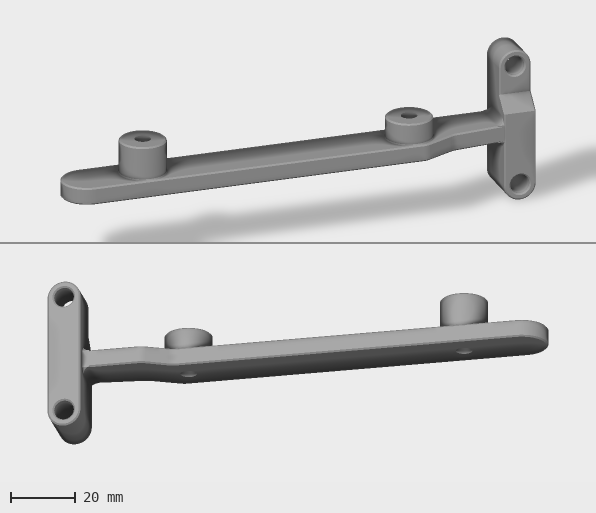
import cadquery as cq

ARM_WIDTH = 16.5
ARM_BOTTOM = -4.0
ARM_TOP = 1.5
ARM_EDGE = 0.5
BEND_RADIUS = 4.5

NECK_LEFT = -12.7
NECK_RIGHT = 1.2
NECK_RIGHT_KINK = 3.1
BEND_START_Y = 117.3
LEFT_BEND_END_Y = 126.2
RIGHT_BEND_END_Y = 127.7
ROOT_FILLET = 2.2

PLATE_BACK = 155.4
PLATE_THICKNESS = 10.4
PLATE_HEIGHT = 48.0
PLATE_LEFT = -15.7
LOWER_LENGTH = 17.0
UPPER_LENGTH = 12.1
STEP_TOP = 10.0
PLATE_EDGE = 0.5
PIN_HOLE_DIAMETER = 6.2

BOSS_DIAMETER = 14.9
BOSS_EDGE = 0.5
BOSS_FLARE = 0.3
BOSS_HOLE_DIAMETER = 5.1
BOSSES = [(26.5, 10.9), (114.0, 7.0)]

half_width = ARM_WIDTH / 2
plate_front = PLATE_BACK - PLATE_THICKNESS
plate_middle = PLATE_BACK - PLATE_THICKNESS / 2
arm_thickness = ARM_TOP - ARM_BOTTOM


def make_arm():
    """Bar with a round tip, two soft bends and a neck that ends on the plate."""
    arm = (
        cq.Workplane("XY", origin=(0, 0, ARM_BOTTOM))
        .moveTo(-half_width, half_width)
        .threePointArc((0, 0), (half_width, half_width))
        .lineTo(half_width, BEND_START_Y)
        .lineTo(NECK_RIGHT_KINK, RIGHT_BEND_END_Y)
        .lineTo(NECK_RIGHT, plate_front)
        .lineTo(NECK_LEFT, plate_front)
        .lineTo(NECK_LEFT, LEFT_BEND_END_Y)
        .lineTo(-half_width, BEND_START_Y)
        .close()
        .extrude(arm_thickness)
    )
    bend_zone = cq.selectors.BoxSelector(
        (NECK_LEFT - 1.5, BEND_START_Y - 1.5, ARM_BOTTOM - 1.5),
        (half_width + 1.5, RIGHT_BEND_END_Y + 1.5, ARM_TOP + 1.5),
    )
    arm = arm.edges("|Z").edges(bend_zone).fillet(BEND_RADIUS)
    return arm.faces("<Z or >Z").edges("not(>Y)").chamfer(ARM_EDGE)


def make_plate():
    """Upright round-ended bar whose right end slopes from a short upper to a long lower half.

    A pin hole runs along X through each round end.
    """
    half_height = PLATE_HEIGHT / 2
    upper_right = PLATE_LEFT + UPPER_LENGTH
    lower_right = PLATE_LEFT + LOWER_LENGTH
    step_bottom = STEP_TOP - (LOWER_LENGTH - UPPER_LENGTH)
    front_outline = (
        cq.Workplane("XZ", origin=(0, PLATE_BACK, 0))
        .moveTo(PLATE_LEFT, -half_height)
        .lineTo(lower_right, -half_height)
        .lineTo(lower_right, step_bottom)
        .lineTo(upper_right, STEP_TOP)
        .lineTo(upper_right, half_height)
        .lineTo(PLATE_LEFT, half_height)
        .close()
        .extrude(PLATE_THICKNESS)
    )
    plate = (
        cq.Workplane("YZ", origin=(PLATE_LEFT, plate_middle, 0))
        .slot2D(PLATE_HEIGHT, PLATE_THICKNESS, 90)
        .extrude(LOWER_LENGTH)
        .intersect(front_outline)
    )
    pin_offset = (PLATE_HEIGHT - PLATE_THICKNESS) / 2
    pin_holes = (
        cq.Workplane("YZ", origin=(PLATE_LEFT, plate_middle, 0))
        .pushPoints([(0, -pin_offset), (0, pin_offset)])
        .circle(PIN_HOLE_DIAMETER / 2)
        .extrude(LOWER_LENGTH)
    )
    plate = plate.cut(pin_holes)
    left_rim = plate.faces("<X").edges()
    right_rim = plate.faces("%PLANE").faces("not(<X or <Y or >Y)").edges("not(|Y)")
    return plate.newObject(left_rim.vals() + right_rim.vals()).chamfer(PLATE_EDGE)


def make_root_fillet():
    """Concave flare above and below the neck, with its ends sloped at 45 degrees."""
    neck_length = NECK_RIGHT - NECK_LEFT
    neck_middle = (NECK_LEFT + NECK_RIGHT) / 2
    arm_middle = (ARM_TOP + ARM_BOTTOM) / 2
    flare_start = plate_front - ROOT_FILLET
    flare_top = ARM_TOP + ROOT_FILLET
    flare_bottom = ARM_BOTTOM - ROOT_FILLET
    bulge = ROOT_FILLET * (1 - 0.5**0.5)
    flare = (
        cq.Workplane("YZ", origin=(NECK_LEFT, 0, 0))
        .moveTo(flare_start, ARM_TOP)
        .threePointArc((plate_front - bulge, ARM_TOP + bulge), (plate_front, flare_top))
        .lineTo(plate_front, flare_bottom)
        .threePointArc((plate_front - bulge, ARM_BOTTOM - bulge), (flare_start, ARM_BOTTOM))
        .close()
        .extrude(neck_length)
    )
    envelope = (
        cq.Workplane("XY")
        .box(neck_length, ROOT_FILLET, flare_top - flare_bottom)
        .edges("|Y")
        .chamfer(ROOT_FILLET)
        .translate((neck_middle, plate_front - ROOT_FILLET / 2, arm_middle))
    )
    return flare.intersect(envelope)


def make_boss(y, height):
    """Round boss with a chamfered top and a small flare where it meets the arm."""
    flare = (
        cq.Workplane("XY", origin=(0, y, ARM_TOP))
        .circle(BOSS_DIAMETER / 2 + BOSS_FLARE)
        .workplane(offset=BOSS_FLARE)
        .circle(BOSS_DIAMETER / 2)
        .loft(ruled=True)
    )
    boss = (
        cq.Workplane("XY", origin=(0, y, ARM_TOP))
        .circle(BOSS_DIAMETER / 2)
        .extrude(height)
        .faces(">Z")
        .chamfer(BOSS_EDGE)
    )
    return boss.union(flare)


result = make_arm().union(make_plate()).union(make_root_fillet())

for boss_y, boss_height in BOSSES:
    result = result.union(make_boss(boss_y, boss_height))
    boss_hole = (
        cq.Workplane("XY", origin=(0, boss_y, ARM_BOTTOM))
        .circle(BOSS_HOLE_DIAMETER / 2)
        .extrude(arm_thickness + boss_height)
    )
    result = result.cut(boss_hole)